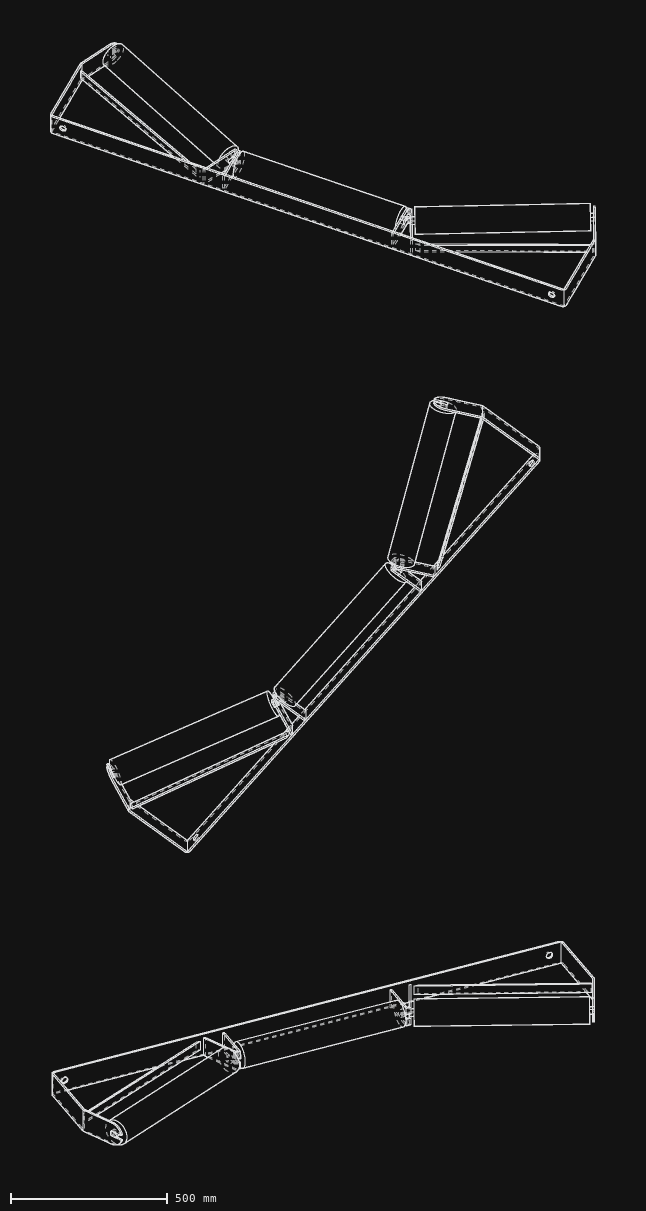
import cadquery as cq
import math

LENGTH = 1800.0
STRIP_WIDTH = 81.0
PLATE = 6.0
WING_ANGLE = 25.0
ARM_BEND_Y = 241.0
ARM_LENGTH = 160.0
CORNER_RADIUS = 13.0
BOLT_HOLE = 22.0
BOLT_INSET = 47.0

ROLLER_DIAMETER = 88.0
ROLLER_GAP = 9.0
SHAFT_DIAMETER = 25.0
SHAFT_FLATS = 18.0
SHAFT_ON_ARM = 126.0
CENTRE_AXIS_Y = 99.0
AXIS_DROP = 7.0

BRACKET_INNER_X = 292.0
BRACKET_FOOT_X = 365.0
BRACKET_TOP_Y = 126.0

STRUT_HEIGHT = 32.0
STRUT_TOP_Y = 235.0
STRUT_FOOT_X = 376.0

HALF = LENGTH / 2
MID_Z = STRIP_WIDTH / 2
SIN = math.sin(math.radians(WING_ANGLE))
COS = math.cos(math.radians(WING_ANGLE))
STUB = ROLLER_GAP + PLATE
CENTRE_Z = MID_Z - AXIS_DROP
BRACKET_WIDTH = STRIP_WIDTH - 2 * AXIS_DROP
CENTRE_LENGTH = 2 * (BRACKET_INNER_X - ROLLER_GAP)


def along_arm(distance, depth=0.0):
    """Point on the left arm: distance from its bend, depth below its outer face."""
    x = -HALF + distance * SIN + depth * COS
    y = ARM_BEND_Y + distance * COS - depth * SIN
    return x, y


def mirrored(points):
    """Points of the left half followed by their mirror images, in closing order."""
    return points + [(-x, y) for x, y in reversed(points)]


def mirror_x(body):
    """Copy of a left-hand body on the right-hand side."""
    return body.mirror("YZ")


TILT = math.asin(AXIS_DROP / CENTRE_LENGTH)
wing_start = cq.Vector(*along_arm(SHAFT_ON_ARM, STUB), MID_Z)
wing_plane = cq.Plane(
    origin=wing_start.toTuple(),
    xDir=(SIN, COS, 0),
    normal=(COS * math.cos(TILT), -SIN * math.cos(TILT), -math.sin(TILT)),
)
centre_plane = cq.Plane(
    origin=(-CENTRE_LENGTH / 2, CENTRE_AXIS_Y, CENTRE_Z), xDir=(0, 1, 0), normal=(1, 0, 0)
)
LEG_DISTANCE = (-BRACKET_FOOT_X - wing_start.x) * COS - (PLATE - wing_start.y) * SIN
WING_LENGTH = LEG_DISTANCE - ROLLER_GAP


def flatted_bar(plane, length, overhang):
    """Round bar with two flats, reaching past both ends of a roller by the overhang."""
    start = cq.Workplane(plane).workplane(offset=-overhang)
    full_length = length + 2 * overhang
    round_bar = start.circle(SHAFT_DIAMETER / 2).extrude(full_length)
    flats = start.rect(SHAFT_DIAMETER, SHAFT_FLATS).extrude(full_length)
    return round_bar.intersect(flats)


def make_roller(plane, length):
    shell = cq.Workplane(plane).circle(ROLLER_DIAMETER / 2).extrude(length)
    return shell.union(flatted_bar(plane, length, STUB))


def shaft_slot(plane, length):
    """Open-topped slots that take the flats of a shaft at both ends of its roller."""
    overhang = 2 * STUB
    opening = (
        cq.Workplane(plane).workplane(offset=-overhang)
        .center(ROLLER_DIAMETER / 2, 0)
        .rect(ROLLER_DIAMETER, SHAFT_FLATS)
        .extrude(length + 2 * overhang)
    )
    return opening.union(flatted_bar(plane, length, overhang))


wing_slot = shaft_slot(wing_plane, WING_LENGTH)
centre_slot = shaft_slot(centre_plane, CENTRE_LENGTH)


def outside_arm_tip():
    """Corners of the left arm that lie outside its full-round tip."""
    tip_plane = cq.Plane(
        origin=(*along_arm(ARM_LENGTH - MID_Z, -PLATE), MID_Z),
        xDir=(SIN, COS, 0),
        normal=(COS, -SIN, 0),
    )
    depth = 3 * PLATE
    block = cq.Workplane(tip_plane).center(MID_Z, 0).rect(2 * MID_Z, 4 * MID_Z).extrude(depth)
    return block.cut(cq.Workplane(tip_plane).circle(MID_Z).extrude(depth))


def make_frame():
    bend_inset = PLATE * math.tan(math.radians(WING_ANGLE / 2))
    left_half = [
        (-HALF + PLATE, PLATE),
        (-HALF + PLATE, ARM_BEND_Y - bend_inset),
        along_arm(ARM_LENGTH, PLATE),
        along_arm(ARM_LENGTH),
        (-HALF, ARM_BEND_Y),
        (-HALF, 0),
    ]
    frame = cq.Workplane("XY").polyline(mirrored(left_half)).close().extrude(STRIP_WIDTH)
    frame = frame.edges("|Z and <Y").fillet(CORNER_RADIUS)
    bolt_x = HALF - BOLT_INSET
    bolt_holes = (
        cq.Workplane("XZ")
        .pushPoints([(-bolt_x, MID_Z), (bolt_x, MID_Z)])
        .circle(BOLT_HOLE / 2)
        .extrude(-2 * PLATE)
    )
    left_tip = outside_arm_tip().union(wing_slot)
    return frame.cut(bolt_holes).cut(left_tip).cut(mirror_x(left_tip))


def make_bracket():
    lean = math.tan(math.radians(WING_ANGLE))
    leg_shift = PLATE / COS
    height = BRACKET_TOP_Y - PLATE
    left_foot = -BRACKET_FOOT_X
    right_face = -BRACKET_INNER_X
    outline = [
        (left_foot, PLATE),
        (left_foot + height * lean, BRACKET_TOP_Y),
        (right_face, BRACKET_TOP_Y),
        (right_face, PLATE),
        (right_face - PLATE, PLATE),
        (right_face - PLATE, BRACKET_TOP_Y - PLATE),
        (left_foot + leg_shift + (height - PLATE) * lean, BRACKET_TOP_Y - PLATE),
        (left_foot + leg_shift, PLATE),
    ]
    plate = cq.Workplane("XY").polyline(outline).close().extrude(BRACKET_WIDTH)
    return plate.cut(wing_slot).cut(centre_slot)


def make_strut():
    run = -STRUT_FOOT_X + HALF - PLATE
    rise = STRUT_TOP_Y - PLATE
    slope = math.hypot(run, rise)
    outline = [
        (-HALF + PLATE, STRUT_TOP_Y),
        (-STRUT_FOOT_X, PLATE),
        (-STRUT_FOOT_X - PLATE * slope / rise, PLATE),
        (-HALF + PLATE, STRUT_TOP_Y - PLATE * slope / run),
    ]
    base = cq.Workplane("XY").workplane(offset=MID_Z - STRUT_HEIGHT / 2)
    return base.polyline(outline).close().extrude(STRUT_HEIGHT)


frame = make_frame()
centre_roller = make_roller(centre_plane, CENTRE_LENGTH)
wing_roller = make_roller(wing_plane, WING_LENGTH)
bracket = make_bracket()
strut = make_strut()

bodies = [frame.val(), centre_roller.val()]
for left_body in (wing_roller, bracket, strut):
    bodies.append(left_body.val())
    bodies.append(mirror_x(left_body).val())

result = cq.Compound.makeCompound(bodies)